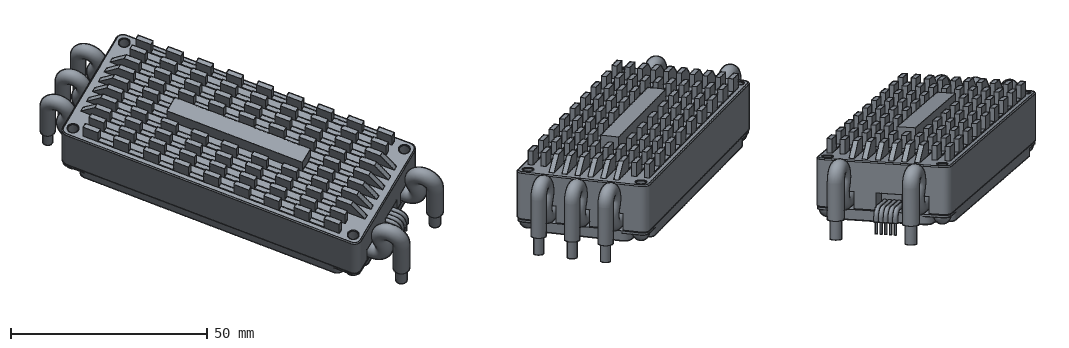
import cadquery as cq
import math


case_length = 84.3
case_width = 35.5
case_height = 13.0
corner_radius = 2.0
case_chamfer = 0.3
base_inset = 0.2
base_height = 2.8
base_plate_thickness = 0.6
base_chamfer = 0.2
case_top = base_height + case_height
base_length = case_length - 2 * base_inset
base_width = case_width - 2 * base_inset

screw_inset = 2.6
screw_hole_diameter = 2.6
screw_hole_mouth = 3.0
countersink_angle = 90.0
screw_head_diameter = 4.4
screw_rim_height = 0.3
notch_size = 4.9
notch_fillet = 2.1

fin_height = 3.8
ridge_height = 0.3
ridge_length = 72.3
fin_thickness = 1.4
ramp_length = 4.0
row_span = 31.2
row_count = 10
fins_per_row = 9
ramped_rows = range(2, 8)
center_rows = (4, 5)
center_block_cells = 9
row_pitch = row_span / (row_count - 1)
fin_length = ridge_length / (2 * fins_per_row - 1)

core_inset = 5.2
core_height = 4.8
lead_clearance = 0.2
core_length = case_length - 2 * core_inset
core_width = case_width - 2 * core_inset

bend_radius = 3.0
link_angle = 30.0
seam_height = 12.0
tail_bottom = -2.9
input_lead = {"diameter": 4.0, "conductor": 2.6, "tail_x": 49.6, "link": 1.3, "sleeve_bottom": 1.9}
output_lead = {"diameter": 4.4, "conductor": 3.0, "tail_x": 50.7, "link": 1.0, "sleeve_bottom": 2.2}
input_lead_ys = (-9.0, 0.0, 9.0)
output_lead_ys = (-9.9, 9.9)

ribbon_count = 5
ribbon_pitch = 1.3
ribbon_wire_diameter = 1.4
ribbon_center_y = 1.8
ribbon_axis_z = 4.2
ribbon_bend_radius = 2.2
ribbon_tail_x = 45.1
ribbon_sleeve_bottom = 0.8
ribbon_pin_diameter = 0.6
ribbon_pin_bottom = -2.3
ribbon_width = (ribbon_count - 1) * ribbon_pitch + ribbon_wire_diameter


def block(length, width, height, x=0.0, y=0.0, z=0.0):
    """Box centred on (x, y) and standing on z."""
    return cq.Workplane("XY").box(length, width, height, centered=(True, True, False)).translate((x, y, z))


def rod(diameter, x, y, bottom, top):
    """Vertical cylinder from bottom to top."""
    return cq.Workplane("XY", origin=(x, y, bottom)).circle(diameter / 2).extrude(top - bottom)


def corner_points(inset):
    """Points set in by the same distance from both sides at the four corners."""
    x = case_length / 2 - inset
    y = case_width / 2 - inset
    return [(-x, -y), (-x, y), (x, -y), (x, y)]


def row_y(row):
    """Centre of a fin row across the case."""
    return row * row_pitch - row_span / 2


def fin_row(row):
    """One row of tall fins standing on a low continuous ridge, with end ramps on the inner rows."""
    y = row_y(row)
    fins = block(ridge_length, fin_thickness, ridge_height, y=y, z=case_top)
    for i in range(fins_per_row):
        x = (2 * i - (fins_per_row - 1)) * fin_length
        fins = fins.union(block(fin_length, fin_thickness, fin_height, x, y, case_top))
    if row in ramped_rows:
        half = ridge_length / 2
        for side in (-1, 1):
            ramp = (
                cq.Workplane("XZ", origin=(0, y + fin_thickness / 2, case_top))
                .polyline([(side * half, 0), (side * (half + ramp_length), 0), (side * half, fin_height)])
                .close()
                .extrude(fin_thickness)
            )
            fins = fins.union(ramp)
    return fins


def center_block():
    """Solid bar that fills the space between the two middle rows of fins."""
    first, last = (row_y(row) for row in center_rows)
    width = last - first + fin_thickness
    return block(center_block_cells * fin_length, width, fin_height, y=(first + last) / 2, z=case_top)


def end_opening(side, y, width):
    """Cutter for an opening from one end of the case to the core, open at the bottom."""
    x = side * (case_length / 2 - core_inset / 2)
    return block(core_inset, width, core_height, x, y, base_height)


def make_case():
    case = block(case_length, case_width, case_height, z=base_height)
    case = case.edges("|Z").fillet(corner_radius)
    case = case.faces("<Z or >Z").chamfer(case_chamfer)
    case = case.faces(">Z").workplane(origin=(0, 0, case_top)).pushPoints(corner_points(screw_inset))
    case = case.cskHole(screw_hole_diameter, screw_hole_mouth, countersink_angle)
    case = case.cut(block(core_length, core_width, core_height, z=base_height))
    for y in input_lead_ys:
        case = case.cut(end_opening(-1, y, input_lead["diameter"] + 2 * lead_clearance))
        case = case.cut(power_lead(-1, y, input_lead))
    for y in output_lead_ys:
        case = case.cut(end_opening(1, y, output_lead["diameter"] + 2 * lead_clearance))
    case = case.cut(end_opening(1, ribbon_center_y, ribbon_width + 2 * lead_clearance))
    for row in range(row_count):
        case = case.union(fin_row(row))
    return case.union(center_block())


def make_base():
    """Plate on a thicker foot with notched corners; a domed screw head hangs in each notch."""
    foot_height = base_height - base_plate_thickness
    plate = block(base_length, base_width, base_plate_thickness, z=foot_height)
    plate = plate.edges("|Z").fillet(corner_radius - base_inset)
    foot = block(base_length, base_width, foot_height)
    for x, y in corner_points(0):
        foot = foot.cut(block(2 * notch_size, 2 * notch_size, foot_height, x, y))
    foot = foot.edges("|Z").fillet(notch_fillet)
    foot = foot.faces("<Z").chamfer(base_chamfer)
    base = plate.union(foot)
    for x, y in corner_points(screw_inset):
        base = base.union(screw_head(x, y, foot_height))
    return base


def screw_head(x, y, height):
    """Disc rim under the plate with a domed cap that reaches down to the underside of the foot."""
    radius = screw_head_diameter / 2
    dome_height = height - screw_rim_height
    dome_radius = (radius**2 + dome_height**2) / (2 * dome_height)
    dome_angle = math.asin(radius / dome_radius)
    dome_middle = (dome_radius * math.sin(dome_angle / 2), dome_radius * (1 - math.cos(dome_angle / 2)))
    profile = (
        cq.Workplane("XZ")
        .moveTo(0, height)
        .lineTo(radius, height)
        .lineTo(radius, dome_height)
        .threePointArc(dome_middle, (0, 0))
        .close()
    )
    return profile.revolve(360, (0, 0, 0), (0, 1, 0)).translate((x, y, 0))


def power_lead(side, y, lead):
    """Insulated lead from the core to its bare conductor; side is -1 or 1 along X."""
    angle = math.radians(link_angle)
    sin = math.sin(angle)
    cos = math.cos(angle)
    hook_x = lead["tail_x"] - bend_radius
    link_start = (hook_x - bend_radius * cos, seam_height - bend_radius * sin)
    link_end = (link_start[0] + lead["link"] * sin, link_start[1] - lead["link"] * cos)
    entry_x = link_end[0] - bend_radius * cos
    entry_bend_z = link_end[1] - bend_radius * sin
    entry_z = entry_bend_z - bend_radius
    middle = math.radians((link_angle - 90) / 2)
    entry_middle = (entry_x + bend_radius * math.cos(middle), entry_bend_z + bend_radius * math.sin(middle))

    def place(point):
        return (side * point[0], point[1])

    path = (
        cq.Workplane("XZ", origin=(0, y, 0))
        .moveTo(*place((core_length / 2, entry_z)))
        .lineTo(*place((entry_x, entry_z)))
        .threePointArc(place(entry_middle), place(link_end))
        .lineTo(*place(link_start))
        .threePointArc(place((hook_x, seam_height + bend_radius)), place((lead["tail_x"], seam_height)))
        .lineTo(*place((lead["tail_x"], lead["sleeve_bottom"])))
    )
    section = cq.Workplane("YZ", origin=(side * core_length / 2, y, entry_z)).circle(lead["diameter"] / 2)
    conductor = rod(lead["conductor"], side * lead["tail_x"], y, tail_bottom, lead["sleeve_bottom"])
    return section.sweep(path).union(conductor)


def ribbon_wire(y):
    """One ribbon wire: out of the core, bent down, ending in a thin pin."""
    bend_x = ribbon_tail_x - ribbon_bend_radius
    bend_z = ribbon_axis_z - ribbon_bend_radius
    diagonal = ribbon_bend_radius * math.sqrt(0.5)
    path = (
        cq.Workplane("XZ", origin=(0, y, 0))
        .moveTo(core_length / 2, ribbon_axis_z)
        .lineTo(bend_x, ribbon_axis_z)
        .threePointArc((bend_x + diagonal, bend_z + diagonal), (ribbon_tail_x, bend_z))
        .lineTo(ribbon_tail_x, ribbon_sleeve_bottom)
    )
    section = cq.Workplane("YZ", origin=(core_length / 2, y, ribbon_axis_z)).circle(ribbon_wire_diameter / 2)
    pin = rod(ribbon_pin_diameter, ribbon_tail_x, y, ribbon_pin_bottom, ribbon_sleeve_bottom)
    return section.sweep(path).union(pin)


def make_wiring():
    wiring = block(core_length, core_width, core_height, z=base_height)
    for y in input_lead_ys:
        wiring = wiring.union(power_lead(-1, y, input_lead))
    for y in output_lead_ys:
        wiring = wiring.union(power_lead(1, y, output_lead))
    for i in range(ribbon_count):
        y = ribbon_center_y + (i - (ribbon_count - 1) / 2) * ribbon_pitch
        wiring = wiring.union(ribbon_wire(y))
    return wiring


case = make_case()
base = make_base()
wiring = make_wiring()

result = cq.Compound.makeCompound([case.val(), base.val(), wiring.val()])